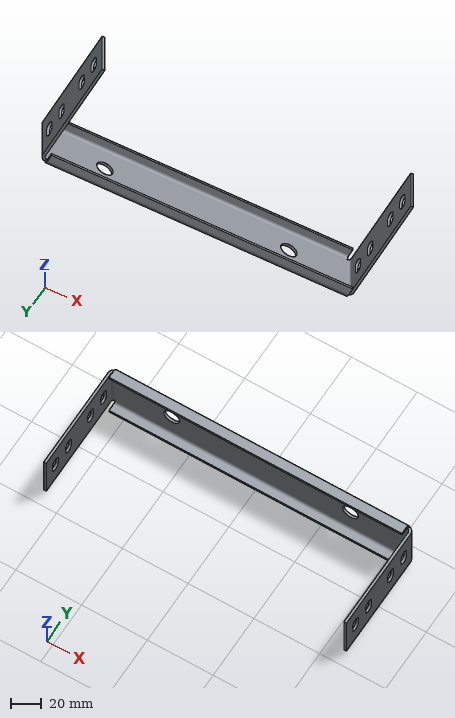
import cadquery as cq

length = 230.0
depth = 83.0
height = 44.0

thickness = 2.0
inner_radius = thickness
bend_radius = inner_radius + thickness

flange_depth = 9.0
flange_length = 222.6

arm_height = 35.5

hole_diameter = 12.0
hole_spacing = 136.0

slot_width = 7.0
slot_height = 12.0
slot_pair_pitch = 16.0
slot_pair_gap = 27.0
first_slot_from_tip = 11.3

back_y = depth / 2
tip_y = -depth / 2


def folded_channel(plane, width, side_depth, extrusion):
    """Rounded U-shaped sheet, closed at the back and open toward -Y."""

    def solid_block(block_width, block_back, corner_radius):
        block_front = back_y - side_depth
        return (
            cq.Workplane(plane)
            .center(0, (block_back + block_front) / 2)
            .rect(block_width, block_back - block_front)
            .extrude(extrusion / 2, both=True)
            .edges(cq.selectors.ParallelDirSelector(plane.zDir))
            .edges(">Y")
            .fillet(corner_radius)
        )

    outside = solid_block(width, back_y, bend_radius)
    inside = solid_block(width - 2 * thickness, back_y - thickness, inner_radius)
    return outside.cut(inside)


def web_holes():
    """Two round holes through the web."""
    return (
        cq.Workplane("XZ", origin=(0, back_y, 0))
        .pushPoints([(-hole_spacing / 2, 0), (hole_spacing / 2, 0)])
        .circle(hole_diameter / 2)
        .extrude(thickness)
    )


def arm_slots():
    """Four slots passing through both arms."""
    first_y = tip_y + first_slot_from_tip
    second_pair_y = first_y + slot_pair_pitch + slot_pair_gap
    slot_points = []
    for pair_y in (first_y, second_pair_y):
        slot_points.append((pair_y, 0))
        slot_points.append((pair_y + slot_pair_pitch, 0))
    return (
        cq.Workplane("YZ")
        .pushPoints(slot_points)
        .slot2D(slot_height, slot_width, 90)
        .extrude(length / 2, both=True)
    )


arm_plane = cq.Plane(origin=(0, 0, 0), xDir=(1, 0, 0), normal=(0, 0, 1))
flange_plane = cq.Plane(origin=(0, 0, 0), xDir=(0, 0, -1), normal=(1, 0, 0))

arms = folded_channel(arm_plane, length, depth, arm_height).cut(arm_slots())
flanges = folded_channel(flange_plane, height, flange_depth, flange_length)

result = arms.union(flanges).cut(web_holes())